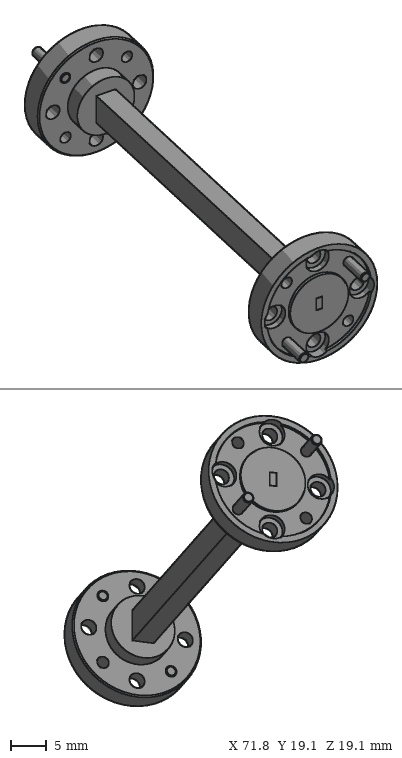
import cadquery as cq
import math

overall_length = 71.75
pin_protrusion = 4.15
flange_thickness = 3.65
hub_length = 2.6
face_x = overall_length / 2 - pin_protrusion
flange_back_x = face_x - flange_thickness
hub_end_x = flange_back_x - hub_length

flange_diameter = 19.1
flange_back_chamfer = 0.2
hub_diameter = 9.4

groove_outer_diameter = 17.2
groove_inner_diameter = 9.55
groove_depth = 0.5

tube_width = 3.15
tube_height = 4.6
port_width = 1.0
port_height = 2.0
port_depth = 0.1

hole_circle_diameter = 14.3
hole_circle_radius = hole_circle_diameter / 2
screw_hole_diameter = 2.2
counterbore_diameter = 3.7
counterbore_depth = 1.5
dowel_hole_diameter = 1.7

pin_diameter = 1.6
pin_chamfer = 0.15
pin_length = pin_protrusion + flange_thickness

screw_angles = [0, 90, 180, 270]
right_pin_angles = [45, 225]
right_dowel_hole_angles = [135, 315]


def plane_at(x):
    """YZ plane at the given X, with local x along +Y and local y along +Z."""
    return cq.Workplane("YZ", origin=(x, 0, 0))


def circle_points(angles):
    """Points on the hole circle at the given angles in degrees."""
    return [
        (
            hole_circle_radius * math.cos(math.radians(angle)),
            hole_circle_radius * math.sin(math.radians(angle)),
        )
        for angle in angles
    ]


def drill(body, angles, diameter, depth):
    """Cut round holes of the given depth inward from the right mating face."""
    cutters = (
        plane_at(face_x - depth)
        .pushPoints(circle_points(angles))
        .circle(diameter / 2)
        .extrude(depth)
    )
    return body.cut(cutters)


def half_turn(body):
    """Copy of a +X end body turned about Z to the -X end."""
    return body.rotate((0, 0, 0), (0, 0, 1), 180)


def make_right_flange():
    """Flange with its hub at the +X end."""
    disc = (
        plane_at(flange_back_x)
        .circle(flange_diameter / 2)
        .extrude(flange_thickness)
        .faces("<X")
        .chamfer(flange_back_chamfer)
    )
    hub = plane_at(hub_end_x).circle(hub_diameter / 2).extrude(hub_length)
    flange = disc.union(hub)

    groove = (
        plane_at(face_x - groove_depth)
        .circle(groove_outer_diameter / 2)
        .circle(groove_inner_diameter / 2)
        .extrude(groove_depth)
    )
    port = plane_at(face_x - port_depth).rect(port_width, port_height).extrude(port_depth)
    flange = flange.cut(groove).cut(port)

    flange = drill(flange, screw_angles, screw_hole_diameter, flange_thickness)
    flange = drill(flange, screw_angles, counterbore_diameter, counterbore_depth)
    flange = drill(flange, right_dowel_hole_angles, dowel_hole_diameter, flange_thickness)
    return drill(flange, right_pin_angles, pin_diameter, flange_thickness)


def make_waveguide():
    """One body: the rectangular tube with a flange at each end."""
    tube = plane_at(-hub_end_x).rect(tube_width, tube_height).extrude(2 * hub_end_x)
    right_flange = make_right_flange()
    left_flange = half_turn(right_flange)
    return tube.union(right_flange).union(left_flange)


def make_pin(y, z):
    """Dowel pin of the +X end, flush with the flange back, chamfered at both ends."""
    return (
        cq.Workplane("YZ", origin=(flange_back_x, y, z))
        .circle(pin_diameter / 2)
        .extrude(pin_length)
        .edges("%CIRCLE")
        .chamfer(pin_chamfer)
    )


waveguide = make_waveguide()

pins = []
for y, z in circle_points(right_pin_angles):
    right_pin = make_pin(y, z)
    pins.append(right_pin.val())
    pins.append(half_turn(right_pin).val())

result = cq.Compound.makeCompound([waveguide.val(), *pins])